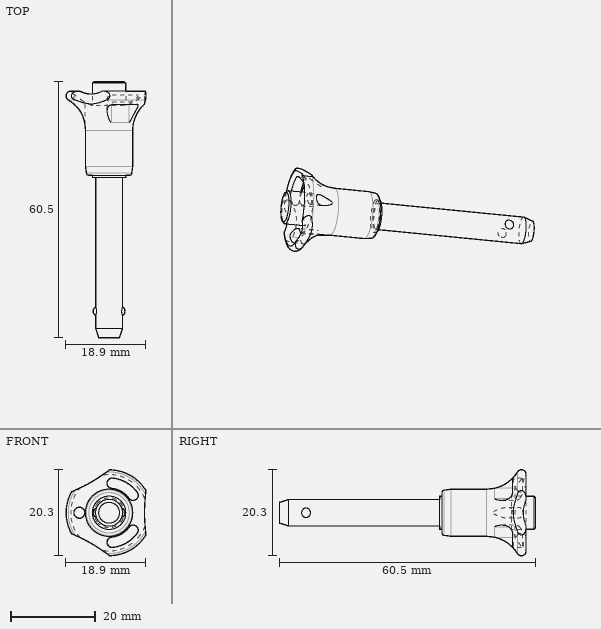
import cadquery as cq
import math


BODY_R = 5.59
RIM_R = 10.16
LIP_R = 1.13
FLARE_END_Y = -9.34
NOSE_START_Y = -17.75
HANDLE_LENGTH = 19.88
HANDLE_END_Y = -HANDLE_LENGTH
NOSE_R = 5.3
NOSE_FILLET = 0.6

DISH_R = 12.0

LOBE_COUNT = 3
LOBE_PITCH = 360.0 / LOBE_COUNT
SCALLOP_HALF_ANGLE = 31.0
SCALLOP_MID_R = 8.38

HOLE_D = 2.54
HOLE_PITCH_R = 7.0
SLOT_WIDTH = 2.38
SLOT_HALF_ANGLE = 24.0
HOLE_ANGLE = 180.0
SLOT_ANGLES = (60.0, -60.0)

BUTTON_R = 3.93
BUTTON_LENGTH = 2.25
BUTTON_CHAMFER = 0.4

COLLAR_R = BUTTON_R
COLLAR_LENGTH = 0.55
SHANK_R = 3.175
TIP_R = 2.45
TIP_LENGTH = 2.2
OVERALL_LENGTH = 60.45
TIP_END_Y = BUTTON_LENGTH - OVERALL_LENGTH
BALL_R = 1.19
BALL_CENTER_R = 2.58
BALL_TO_TIP = 6.3


def polar(radius, angle):
    """Point (x, z) at a radius and angle about the pin axis."""
    a = math.radians(angle)
    return radius * math.cos(a), radius * math.sin(a)


def back_plane():
    """Workplane on the back of the handle, facing -Y, with local axes X and Z."""
    return cq.Workplane("XZ")


def revolve_about_y(profile):
    """Turn a closed (radius, y) profile about the pin axis."""
    return profile.close().revolve(360, (0, 0), (0, 1))


def handle_blank():
    """Turned handle: rounded rim, tangent flare, body and tapered nose."""
    lip_r = RIM_R - LIP_R
    lip_y = -LIP_R
    drop = lip_y - FLARE_END_Y
    reach = lip_r - BODY_R
    flare_r = (reach**2 + drop**2 - LIP_R**2) / (2 * (reach + LIP_R))
    flare_center_r = BODY_R + flare_r
    toward_flare = math.atan2(FLARE_END_Y - lip_y, flare_center_r - lip_r)
    flare_mid_angle = math.pi + toward_flare / 2
    flare_mid = (
        flare_center_r + flare_r * math.cos(flare_mid_angle),
        FLARE_END_Y + flare_r * math.sin(flare_mid_angle),
    )

    def on_lip(angle):
        """Point on the lip arc at an angle from the radial direction."""
        return lip_r + LIP_R * math.cos(angle), lip_y + LIP_R * math.sin(angle)

    profile = (
        cq.Workplane("XY")
        .lineTo(lip_r, 0)
        .threePointArc(on_lip(math.pi / 4), on_lip(0))
        .threePointArc(on_lip(toward_flare / 2), on_lip(toward_flare))
        .threePointArc(flare_mid, (BODY_R, FLARE_END_Y))
        .lineTo(BODY_R, NOSE_START_Y)
        .lineTo(NOSE_R, HANDLE_END_Y)
        .lineTo(0, HANDLE_END_Y)
    )
    return revolve_about_y(profile).faces("<Y").edges().fillet(NOSE_FILLET)


def dish():
    """Ball that hollows the back of the handle up to the crest of the rim."""
    crest_r = RIM_R - LIP_R
    center_y = math.sqrt(DISH_R**2 - crest_r**2)
    return cq.Workplane("XY", origin=(0, center_y, 0)).sphere(DISH_R)


def scallop():
    """Cylinder that hollows the rim between two lobes, on the +X side."""
    corner_x, corner_z = polar(RIM_R, SCALLOP_HALF_ANGLE)
    sagitta = corner_x - SCALLOP_MID_R
    radius = (corner_z**2 + sagitta**2) / (2 * sagitta)
    return back_plane().center(SCALLOP_MID_R + radius, 0).circle(radius).extrude(HANDLE_LENGTH)


def lanyard_hole():
    """Round hole through the flare of one lobe."""
    center = polar(HOLE_PITCH_R, HOLE_ANGLE)
    return back_plane().center(*center).circle(HOLE_D / 2).extrude(HANDLE_LENGTH)


def curved_slot(mid_angle):
    """Round-ended slot that follows the hole pitch circle."""
    inner_r = HOLE_PITCH_R - SLOT_WIDTH / 2
    outer_r = HOLE_PITCH_R + SLOT_WIDTH / 2
    start = mid_angle - SLOT_HALF_ANGLE
    end = mid_angle + SLOT_HALF_ANGLE
    return (
        back_plane()
        .moveTo(*polar(inner_r, start))
        .threePointArc(polar(inner_r, mid_angle), polar(inner_r, end))
        .tangentArcPoint(polar(outer_r, end), relative=False)
        .threePointArc(polar(outer_r, mid_angle), polar(outer_r, start))
        .tangentArcPoint(polar(inner_r, start), relative=False)
        .close()
        .extrude(HANDLE_LENGTH)
    )


def handle():
    """Dished three-lobed handle with its lanyard hole and slots."""
    body = handle_blank().cut(dish()).cut(lanyard_hole())
    for angle in SLOT_ANGLES:
        body = body.cut(curved_slot(angle))
    for i in range(LOBE_COUNT):
        body = body.cut(scallop().rotate((0, 0, 0), (0, 1, 0), i * LOBE_PITCH))
    return body


def pin():
    """Button, shank, collar and tapered tip as one turned core."""
    profile = (
        cq.Workplane("XY")
        .moveTo(0, BUTTON_LENGTH)
        .lineTo(BUTTON_R - BUTTON_CHAMFER, BUTTON_LENGTH)
        .lineTo(BUTTON_R, BUTTON_LENGTH - BUTTON_CHAMFER)
        .lineTo(COLLAR_R, HANDLE_END_Y - COLLAR_LENGTH)
        .lineTo(SHANK_R, HANDLE_END_Y - COLLAR_LENGTH)
        .lineTo(SHANK_R, TIP_END_Y + TIP_LENGTH)
        .lineTo(TIP_R, TIP_END_Y)
        .lineTo(0, TIP_END_Y)
    )
    return revolve_about_y(profile)


def locking_ball(side):
    """Ball that stands out of the shank on the +X (1) or -X (-1) side."""
    center = (side * BALL_CENTER_R, TIP_END_Y + BALL_TO_TIP, 0)
    return cq.Workplane("XY", origin=center).sphere(BALL_R)


result = handle().union(pin())
for side in (-1, 1):
    result = result.union(locking_ball(side))